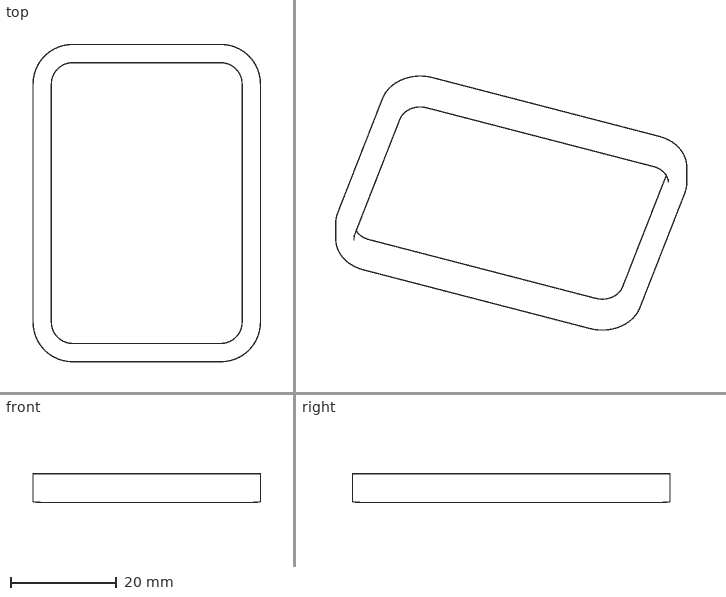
import math

import cadquery as cq

length_x = 43.0
length_y = 60.0
height = 5.49
outer_corner_radius = 7.5
wall = 3.5

base_rise = 0.1
base_fillet = 0.25

groove_top_width = 1.2
groove_depth = 1.35
groove_draft_angle = 3.0
groove_fillet = 0.25

pick_margin = 0.01


def corners_at(corner_height, half_width):
    """Selector for section corners at one height, within the given distance of the wall's middle."""
    return cq.selectors.BoxSelector(
        (-half_width, corner_height - pick_margin, -pick_margin),
        (half_width, corner_height + pick_margin, pick_margin),
    )


def wall_section():
    """Cross-section of the wall: width along local X, height along local Y, centred on X = 0."""
    half_wall = wall / 2
    half_groove_top = groove_top_width / 2
    half_groove_floor = half_groove_top - groove_depth * math.tan(math.radians(groove_draft_angle))
    floor_height = height - groove_depth

    right_half = [
        (half_groove_floor, floor_height),
        (half_groove_top, height),
        (half_wall, height),
        (half_wall, base_rise),
    ]
    base_ridge = (0, 0)
    left_half = [(-x, y) for x, y in reversed(right_half)]
    outline = right_half + [base_ridge] + left_half + right_half[:1]

    section = cq.Sketch().polygon(outline)
    rounded_corners = [
        (corners_at(base_rise, half_wall + pick_margin), base_fillet),
        (corners_at(height, half_groove_top + pick_margin), groove_fillet),
        (corners_at(floor_height, half_groove_floor + pick_margin), groove_fillet),
    ]
    for corners, radius in rounded_corners:
        section = section.vertices(corners).fillet(radius).reset()
    return section


def wall_centreline():
    """Rounded rectangle along the middle of the wall, starting at the -X end of the -Y side."""
    half_x = (length_x - wall) / 2
    half_y = (length_y - wall) / 2
    radius = outer_corner_radius - wall / 2
    straight_x = half_x - radius
    straight_y = half_y - radius
    return (
        cq.Workplane("XY")
        .moveTo(-straight_x, -half_y)
        .lineTo(straight_x, -half_y)
        .radiusArc((half_x, -straight_y), -radius)
        .lineTo(half_x, straight_y)
        .radiusArc((straight_x, half_y), -radius)
        .lineTo(-straight_x, half_y)
        .radiusArc((-half_x, straight_y), -radius)
        .lineTo(-half_x, -straight_y)
        .radiusArc((-straight_x, -half_y), -radius)
        .close()
    )


section_plane = cq.Plane(
    origin=(outer_corner_radius - length_x / 2, (wall - length_y) / 2, 0),
    xDir=(0, 1, 0),
    normal=(1, 0, 0),
)

result = cq.Workplane(section_plane).placeSketch(wall_section()).sweep(wall_centreline(), clean=False)